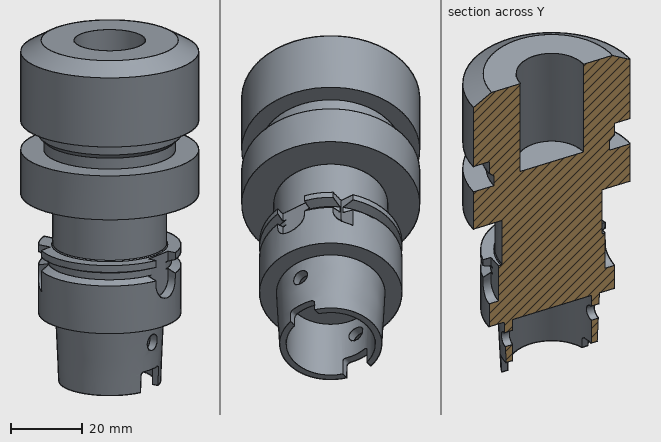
import cadquery as cq

nut_dia = 50.0
nut_face_dia = 38.5
thread_dia = 40.0
neck_dia = 37.0
shank_dia = 32.0
shank_root_dia = 32.6
shank_root_height = 0.3
flange_dia = 40.0
groove_dia = 34.7
taper_large_dia = 30.5
taper_small_dia = 28.7

taper_top = 20.0
flange_top = 40.0
groove_bottom = 35.0
groove_top = 37.0
groove_flare = 1.0
collar_bottom = 55.0
collar_top = 67.9
neck_top = 71.1
thread_bottom = 72.5
nut_bottom = 76.4
nut_chamfer_bottom = 96.7
total_height = 100.0

tool_bore_dia = 20.0
tool_bore_depth = 30.0
taper_bore_dia = 25.0
taper_bore_depth = 20.0

slot_width = 9.1
slot_bottom = 28.0
side_slot_floor = 17.0
corner_slot_floor = 12.0
corner_slot_center = -16.5

drive_slot_width = 8.2
drive_slot_height = 3.7
deep_drive_slot_height = 6.0
drive_slot_corner = 1.0
cross_hole_dia = 4.7
cross_hole_height = 14.0

reach = nut_dia / 2


def make_body():
    """Revolve the outer profile about Z, from the taper up to the nut."""
    steps = [
        (taper_small_dia, 0),
        (taper_large_dia, taper_top),
        (flange_dia, taper_top),
        (flange_dia, groove_bottom - groove_flare),
        (groove_dia, groove_bottom),
        (groove_dia, groove_top),
        (flange_dia, groove_top + groove_flare),
        (flange_dia, flange_top),
        (shank_root_dia, flange_top),
        (shank_dia, flange_top + shank_root_height),
        (shank_dia, collar_bottom),
        (nut_dia, collar_bottom),
        (nut_dia, collar_top),
        (neck_dia, collar_top),
        (neck_dia, neck_top),
        (thread_dia, thread_bottom),
        (thread_dia, nut_bottom),
        (nut_dia, nut_bottom),
        (nut_dia, nut_chamfer_bottom),
        (nut_face_dia, total_height),
    ]
    profile = [(0, 0)] + [(dia / 2, z) for dia, z in steps] + [(0, total_height)]
    return cq.Workplane("XZ").polyline(profile).close().revolve(360, (0, 0), (0, 1))


def flange_slot(side, floor, center_y):
    """Slot open at the flange top, cut inward along X to a flat floor; side is +1 or -1."""
    radius = slot_width / 2
    arc_z = slot_bottom + radius
    return (
        cq.Workplane("YZ", origin=(side * floor, center_y, 0))
        .moveTo(-radius, flange_top)
        .lineTo(-radius, arc_z)
        .threePointArc((0, slot_bottom), (radius, arc_z))
        .lineTo(radius, flange_top)
        .close()
        .extrude(side * (reach - floor))
    )


def drive_slot(side, height):
    """Notch through one wall of the taper end, with rounded upper corners."""
    return (
        cq.Workplane("XY")
        .box(reach, drive_slot_width, height, centered=(True, True, False))
        .edges("|X and >Z")
        .fillet(drive_slot_corner)
        .translate((side * reach / 2, 0, 0))
    )


tool_bore = (
    cq.Workplane("XY", origin=(0, 0, total_height - tool_bore_depth))
    .circle(tool_bore_dia / 2)
    .extrude(tool_bore_depth)
)
taper_bore = cq.Workplane("XY").circle(taper_bore_dia / 2).extrude(taper_bore_depth)
cross_hole = (
    cq.Workplane("YZ", origin=(0, 0, cross_hole_height))
    .circle(cross_hole_dia / 2)
    .extrude(reach, both=True)
)

result = make_body().cut(tool_bore).cut(taper_bore).cut(cross_hole)
for side in (-1, 1):
    result = result.cut(flange_slot(side, side_slot_floor, 0))
result = result.cut(flange_slot(-1, corner_slot_floor, corner_slot_center))
result = result.cut(drive_slot(-1, drive_slot_height))
result = result.cut(drive_slot(1, deep_drive_slot_height))